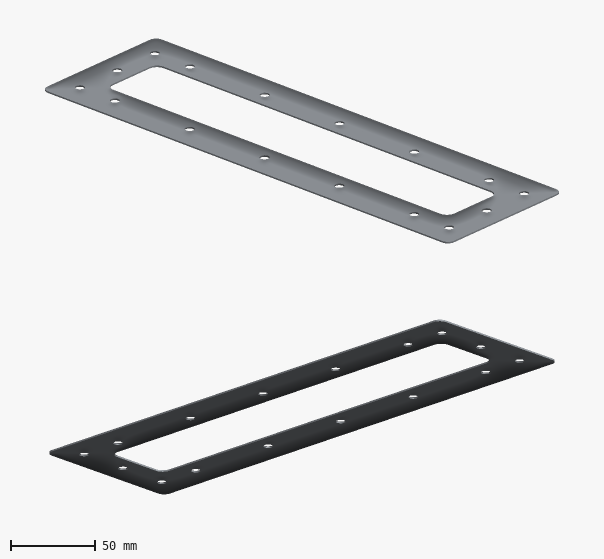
import cadquery as cq

length = 326.0
width = 100.0
thickness = 1.0
corner_radius = 5.0

window_length = 274.0
window_width = 44.3
window_radius = 6.0

hole_diameter = 6.0
end_hole_x = 148.0
row_y = 33.0
row_pitch = 60.0
holes_per_row = 5


def rounded_plate(size_x, size_y, radius):
    """Flat plate centred on the origin with rounded vertical edges."""
    return cq.Workplane("XY").box(size_x, size_y, thickness).edges("|Z").fillet(radius)


def hole_positions():
    """Evenly spaced rows along both long sides, plus three holes at each end."""
    first_x = -row_pitch * (holes_per_row - 1) / 2
    row_x = [first_x + i * row_pitch for i in range(holes_per_row)]
    rows = [(x, y) for x in row_x for y in (-row_y, row_y)]
    ends = [(x, y) for x in (-end_hole_x, end_hole_x) for y in (-row_y, 0, row_y)]
    return rows + ends


plate = rounded_plate(length, width, corner_radius)
window = rounded_plate(window_length, window_width, window_radius)
frame = plate.cut(window)
result = frame.faces(">Z").workplane(origin=(0, 0, 0)).pushPoints(hole_positions()).hole(hole_diameter)